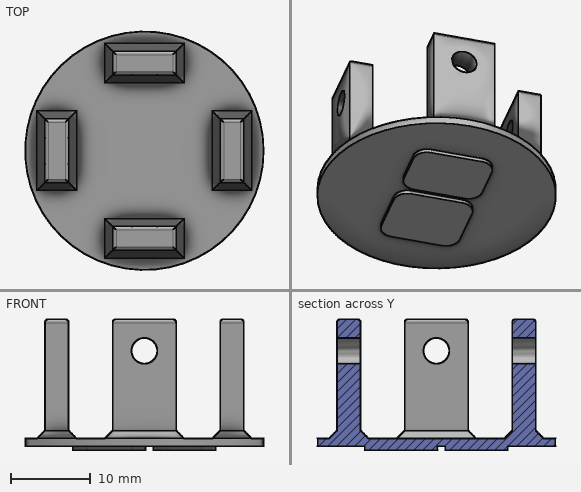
import cadquery as cq

plate_diameter = 30
plate_thickness = 1.0

lug_count = 4
lug_width = 8.0
lug_thickness = 3
lug_height = 15
lug_center_radius = 11.0
lug_top_fillet = 0.45

foot_size = 1.0

hole_diameter = 3.2
hole_below_top = 4.0

pad_height = 0.5
pad_length = 10.25
pad_corner_radius = 1.8
pad_spans = [(-9.03, 0.15), (1.1, 9)]


def make_lug():
    """Lug on the +X side, standing on the plate's top face at Z = 0."""
    post = (
        cq.Workplane("XY")
        .box(lug_thickness, lug_width, lug_height, centered=(True, True, False))
        .faces(">Z")
        .edges()
        .fillet(lug_top_fillet)
    )
    foot = (
        cq.Workplane("XY")
        .rect(lug_thickness + 2 * foot_size, lug_width + 2 * foot_size)
        .workplane(offset=foot_size)
        .rect(lug_thickness, lug_width)
        .loft(ruled=True)
    )
    hole = (
        cq.Workplane("YZ", origin=(-lug_thickness / 2, 0, 0))
        .center(0, lug_height - hole_below_top)
        .circle(hole_diameter / 2)
        .extrude(lug_thickness)
    )
    return post.union(foot).cut(hole).translate((lug_center_radius, 0, 0))


result = cq.Workplane("XY").circle(plate_diameter / 2).extrude(-plate_thickness)
lug = make_lug()
for index in range(lug_count):
    angle = index * 360 / lug_count
    result = result.union(lug.rotate((0, 0, 0), (0, 0, 1), angle))

for pad_start, pad_end in pad_spans:
    pad = (
        cq.Workplane("XY", origin=((pad_start + pad_end) / 2, 0, -plate_thickness))
        .rect(pad_end - pad_start, pad_length)
        .extrude(-pad_height)
        .edges("|Z")
        .fillet(pad_corner_radius)
    )
    result = result.union(pad)